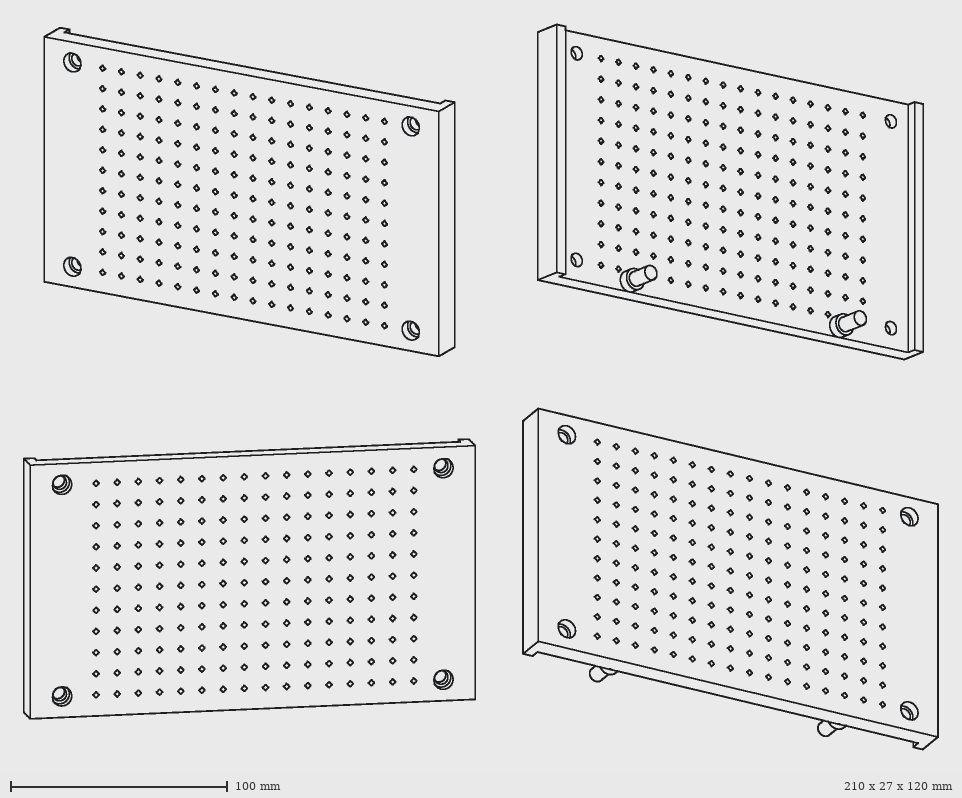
import cadquery as cq
import math

length = 210.0
height = 120.0
plate_thickness = 10.0
rim_width = 5.0
rim_depth = 15.0

pin_diameter = 7.0
pin_tip_y = 27.0
pin_shoulder_diameter = 10.0
pin_shoulder_y = rim_depth
pin_spacing = height
pin_z = pin_shoulder_diameter / 2

grid_columns = 16
grid_rows = 11
grid_height = 100.0
grid_pitch = grid_height / (grid_rows - 1)
grid_offset_x = 1.0
grid_hole_side = 2.0
grid_hole_diagonal = grid_hole_side * math.sqrt(2)

screw_spacing_x = 180.0
screw_spacing_z = grid_height
screw_hole_diameter = 6.3
screw_recess_diameter = 9.0
screw_recess_depth = plate_thickness / 2

center_x = length / 2
center_z = height / 2


def cylinder_along_y(x, z, diameter, y_start, y_end):
    """Cylinder parallel to Y between two Y positions."""
    start = cq.Vector(x, y_start, z)
    return cq.Solid.makeCylinder(diameter / 2, y_end - y_start, start, cq.Vector(0, 1, 0))


def make_tray():
    """Plate with a rim along each short side."""
    tray = cq.Workplane("XY").box(length, rim_depth, height, centered=False)
    recess = (
        cq.Workplane("XY")
        .box(length - 2 * rim_width, rim_depth - plate_thickness, height, centered=False)
        .translate((rim_width, plate_thickness, 0))
    )
    return tray.cut(recess)


def add_pins(body):
    """Two stepped pins, rooted inside the plate so that they fuse with it."""
    root_y = plate_thickness / 2
    for side in (-1, 1):
        x = center_x + side * pin_spacing / 2
        body = body.union(cylinder_along_y(x, pin_z, pin_shoulder_diameter, root_y, pin_shoulder_y))
        body = body.union(cylinder_along_y(x, pin_z, pin_diameter, root_y, pin_tip_y))
    return body


def cut_grid_holes(body):
    """Rectangular grid of diamond-shaped holes through the plate."""
    cutters = (
        cq.Workplane("XZ", origin=(center_x + grid_offset_x, 0, center_z))
        .rarray(grid_pitch, grid_pitch, grid_columns, grid_rows)
        .polygon(4, grid_hole_diagonal)
        .extrude(-plate_thickness)
    )
    return body.cut(cutters)


def cut_screw_holes(body):
    """Four corner holes, recessed from the front face."""
    for side_x in (-1, 1):
        for side_z in (-1, 1):
            x = center_x + side_x * screw_spacing_x / 2
            z = center_z + side_z * screw_spacing_z / 2
            body = body.cut(cylinder_along_y(x, z, screw_hole_diameter, 0, plate_thickness))
            body = body.cut(cylinder_along_y(x, z, screw_recess_diameter, 0, screw_recess_depth))
    return body


result = cut_screw_holes(cut_grid_holes(add_pins(make_tray())))